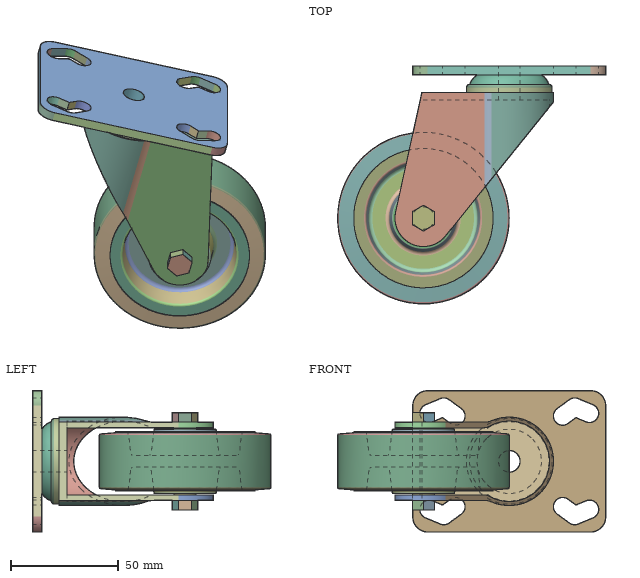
import cadquery as cq
import math


wheel_radius = 40.0
swivel_offset = 40.0
plate_face_y = 71.0

plate_length = 90.0
plate_width = 66.0
plate_thickness = 4.2
plate_corner_radius = 7.1
swivel_hole_diameter = 10.0
slot_width = 8.5
slot_inner_end = (24.9, 21.1)
slot_bend = (30.5, 25.2)
slot_outer_end = (37.4, 22.4)

plate_back_y = plate_face_y - plate_thickness
head_radius = 20.0
head_band_height = 2.2
head_edge_radius = 1.5
dome_top_radius = 15.0
dome_bulge = 0.5

fork_top_y = 58.6
fork_top_thickness = 3.6
fork_outer_width = 36.5
fork_inner_width = 31.2
fork_end_radius = 13.2
fork_back_x = -0.8
fork_nose_y = 54.1
shell_outer_radius = 20.6
shell_inner_radius = 18.8
outer_blend_radius = 8.0
inner_blend_radius = 5.4

tread_width = 25.5
tread_edge_radius = 0.8
tread_shoulder_height = 0.6
rim_radius = 32.5
rim_width = 27.8
recess_radius = 26.6
recess_floor_wall_radius = 25.2
rim_edge_radius = 1.0
recess_floor_fillet = 1.8
web_thickness = 5.2
hub_width = 30.0
hub_face_radius = 14.5
hub_base_radius = 16.0
hub_edge_radius = 0.5
edge_search_margin = 0.1

axle_diameter = 10.4
bolt_head_flats = 10.4
bolt_head_height = 4.5


def make_plate():
    """Rounded plate with four mirrored V-shaped mounting slots."""
    plate = (
        cq.Workplane("XY")
        .box(plate_length, plate_thickness, plate_width)
        .edges("|Y")
        .fillet(plate_corner_radius)
    )
    slot = slot_leg(slot_inner_end, slot_bend).union(slot_leg(slot_bend, slot_outer_end))
    slots = slot.union(slot.mirror("YZ"))
    slots = slots.union(slots.mirror("XY"))
    return plate.cut(slots).translate((swivel_offset, plate_face_y - plate_thickness / 2, 0))


def slot_leg(start, end):
    """Straight round-ended cutter between two (x, z) points, through the plate thickness."""
    run = end[0] - start[0]
    rise = end[1] - start[1]
    return (
        cq.Workplane("XY")
        .slot2D(math.hypot(run, rise) + slot_width, slot_width)
        .extrude(plate_thickness, both=True)
        .rotate((0, 0, 0), (1, 0, 0), 90)
        .rotate((0, 0, 0), (0, 1, 0), -math.degrees(math.atan2(rise, run)))
        .translate(((start[0] + end[0]) / 2, 0, (start[1] + end[1]) / 2))
    )


def make_swivel_head():
    """Domed round head on the swivel axis."""
    band_top_y = fork_top_y + head_band_height
    dome_base_radius = head_radius - head_edge_radius
    dome_base_y = band_top_y + head_edge_radius
    dome_width = dome_base_radius - dome_top_radius
    dome_height = plate_back_y - dome_base_y
    dome_chord = math.hypot(dome_width, dome_height)
    dome_middle = (
        (dome_base_radius + dome_top_radius) / 2 + dome_bulge * dome_height / dome_chord,
        (dome_base_y + plate_back_y) / 2 + dome_bulge * dome_width / dome_chord,
    )
    edge_middle = (
        dome_base_radius + head_edge_radius * math.cos(math.pi / 4),
        band_top_y + head_edge_radius * math.sin(math.pi / 4),
    )
    return (
        cq.Workplane("XY")
        .moveTo(0, fork_top_y)
        .lineTo(head_radius, fork_top_y)
        .lineTo(head_radius, band_top_y)
        .threePointArc(edge_middle, (dome_base_radius, dome_base_y))
        .threePointArc(dome_middle, (dome_top_radius, plate_back_y))
        .lineTo(0, plate_back_y)
        .close()
        .revolve(360, (0, 0, 0), (0, 1, 0))
        .translate((swivel_offset, 0, 0))
    )


def keyhole_prism(width, round_radius, blend_radius, top_y):
    """Parallel-sided channel blended into a round end on the swivel axis, standing along Y."""
    half_width = width / 2
    overrun = 2 * fork_end_radius
    centre_distance = round_radius + blend_radius
    blend_z = half_width + blend_radius
    blend_x = swivel_offset - math.sqrt(centre_distance**2 - blend_z**2)
    reach = round_radius / centre_distance
    tangent_x = swivel_offset - reach * (swivel_offset - blend_x)
    tangent_z = reach * blend_z
    end_angle = math.atan2(tangent_z - blend_z, tangent_x - blend_x)
    middle_angle = (end_angle - math.pi / 2) / 2
    middle_x = blend_x + blend_radius * math.cos(middle_angle)
    middle_z = blend_z + blend_radius * math.sin(middle_angle)
    return (
        cq.Workplane("XZ", origin=(0, top_y, 0))
        .moveTo(-overrun, half_width)
        .lineTo(blend_x, half_width)
        .threePointArc((middle_x, middle_z), (tangent_x, tangent_z))
        .threePointArc((swivel_offset + round_radius, 0), (tangent_x, -tangent_z))
        .threePointArc((middle_x, -middle_z), (blend_x, -half_width))
        .lineTo(-overrun, -half_width)
        .close()
        .extrude(top_y + overrun)
    )


def fork_tangent_point(x, y, side):
    """Point where a line from (x, y) touches the round fork end; side is +1 left, -1 right."""
    angle = math.atan2(y, x) + side * math.acos(fork_end_radius / math.hypot(x, y))
    return (fork_end_radius * math.cos(angle), fork_end_radius * math.sin(angle))


def make_fork():
    """Open-backed fork, trimmed to its tapering side outline."""
    nose_x = swivel_offset + shell_outer_radius
    side_outline = (
        cq.Workplane("XY")
        .moveTo(fork_back_x, fork_top_y)
        .lineTo(*fork_tangent_point(fork_back_x, fork_top_y, 1))
        .threePointArc((0, -fork_end_radius), fork_tangent_point(nose_x, fork_nose_y, -1))
        .lineTo(nose_x, fork_nose_y)
        .lineTo(nose_x, fork_top_y)
        .close()
        .extrude(2 * shell_outer_radius, both=True)
    )
    outside = keyhole_prism(fork_outer_width, shell_outer_radius, outer_blend_radius, fork_top_y)
    inside = keyhole_prism(
        fork_inner_width, shell_inner_radius, inner_blend_radius, fork_top_y - fork_top_thickness
    )
    return outside.cut(inside).intersect(side_outline)


def round_circle(body, radius, height, fillet_radius):
    """Fillet the circular edge of the given radius and height on a body turned about Z."""
    reach = radius + edge_search_margin
    near_height = cq.selectors.BoxSelector(
        (-reach, -reach, height - edge_search_margin),
        (reach, reach, height + edge_search_margin),
        boundingbox=True,
    )
    largest_circle = cq.selectors.RadiusNthSelector(-1)
    return body.edges(near_height).edges(largest_circle).fillet(fillet_radius)


def make_wheel():
    """Tread, rim, recessed web and hub as one turned body."""
    tread_z = tread_width / 2
    rim_z = rim_width / 2
    web_z = web_thickness / 2
    hub_z = hub_width / 2
    half_wheel = (
        cq.Workplane("XZ")
        .polyline(
            [
                (0, 0),
                (wheel_radius, 0),
                (wheel_radius, tread_z),
                (rim_radius, tread_z + tread_shoulder_height),
                (rim_radius, rim_z),
                (recess_radius, rim_z),
                (recess_floor_wall_radius, web_z),
                (hub_base_radius, web_z),
                (hub_face_radius, hub_z),
                (0, hub_z),
            ]
        )
        .close()
        .revolve(360, (0, 0, 0), (0, 1, 0))
    )

    rounded_circles = [
        (wheel_radius, tread_z, tread_edge_radius),
        (recess_radius, rim_z, rim_edge_radius),
        (recess_floor_wall_radius, web_z, recess_floor_fillet),
        (hub_base_radius, web_z, recess_floor_fillet),
        (hub_face_radius, hub_z, hub_edge_radius),
    ]
    for radius, height, fillet_radius in rounded_circles:
        half_wheel = round_circle(half_wheel, radius, height, fillet_radius)
    return half_wheel.union(half_wheel.mirror("XY"))


def make_axle():
    """Round axle through the wheel and fork with a hexagon head at each end."""
    head_z = fork_outer_width / 2
    axle = cq.Workplane("XY").circle(axle_diameter / 2).extrude(head_z, both=True)
    head = (
        cq.Workplane("XY", origin=(0, 0, head_z))
        .polygon(6, bolt_head_flats, circumscribed=True)
        .extrude(bolt_head_height)
    )
    return axle.union(head).union(head.mirror("XY"))


swivel_hole = (
    cq.Workplane("XZ", origin=(swivel_offset, plate_face_y, 0))
    .circle(swivel_hole_diameter / 2)
    .extrude(plate_face_y - fork_top_y + fork_top_thickness)
)
swivel = make_plate().union(make_swivel_head()).union(make_fork()).cut(swivel_hole)
result = swivel.union(make_wheel()).union(make_axle())